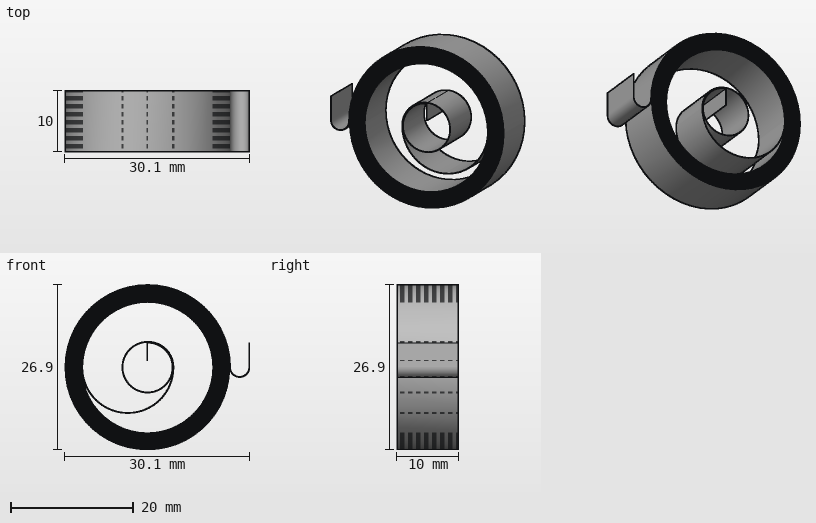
import cadquery as cq
import math

strip_width = 10.0
strip_thickness = 0.13
turn_gap = 0.0005
pitch = strip_thickness + turn_gap

coil_outer_radius = 13.505
upper_half_turns = 22

core_outer_radius = 4.23
core_centre_x = pitch / 4
leg_left_x = -strip_thickness
leg_bottom_z = 1.15

hook_inner_radius = 1.5
hook_leg_top_z = 4.0

ABOVE, BELOW = 1, -1

WHOLE, QUARTERS = 1, 2


def coil_crossings():
    """X of the strip's outer face wherever the main coil crosses the X axis, from the hook inwards."""
    crossings = []
    for turn in range(upper_half_turns):
        turn_radius = coil_outer_radius - turn * pitch
        crossings += [turn_radius, -turn_radius]
    return crossings


def core_crossings():
    """The same for the core: a wide half turn leads to the first one, then one full turn follows."""
    right_x = core_centre_x + core_outer_radius
    left_x = core_centre_x - core_outer_radius
    return [right_x, left_x, right_x - pitch]


def inner_face(x):
    """X of the strip's inner face where its outer face crosses the X axis at x."""
    return x - math.copysign(strip_thickness, x)


def arc_about(outline, centre_x, radius, start_angle, end_angle):
    """Arc about a centre on the X axis, with angles in radians from +X towards +Z."""
    middle_angle = (start_angle + end_angle) / 2
    middle = (centre_x + radius * math.cos(middle_angle), radius * math.sin(middle_angle))
    end = (centre_x + radius * math.cos(end_angle), radius * math.sin(end_angle))
    return outline.threePointArc(middle, end)


def half_turn(outline, start_x, end_x, side, arcs):
    """Half circle between two points of the X axis, above or below it, made of equal arcs."""
    centre_x = (start_x + end_x) / 2
    radius = abs(end_x - start_x) / 2
    start_angle = 0 if start_x > end_x else side * math.pi
    end_angle = side * math.pi - start_angle
    step = (end_angle - start_angle) / arcs
    for index in range(arcs):
        arc_start = start_angle + index * step
        outline = arc_about(outline, centre_x, radius, arc_start, arc_start + step)
    return outline


def half_turns(outline, crossings, first_side, arcs):
    """Half turns through successive crossings, alternately on the two sides of the X axis."""
    side = first_side
    for start_x, end_x in zip(crossings, crossings[1:]):
        outline = half_turn(outline, start_x, end_x, side, arcs)
        side = -side
    return outline


def core_end(outline):
    """Last quarter turn of the core, down the leg, and back along the inner face to the X axis."""
    outer_radius = core_outer_radius - pitch
    inner_radius = outer_radius - strip_thickness
    leg_right_x = leg_left_x + strip_thickness
    outer_end_angle = math.acos((leg_left_x - core_centre_x) / outer_radius)
    inner_end_angle = math.acos((leg_right_x - core_centre_x) / inner_radius)

    outline = arc_about(outline, core_centre_x, outer_radius, 0, outer_end_angle)
    outline = outline.lineTo(leg_left_x, leg_bottom_z)
    outline = outline.lineTo(leg_right_x, leg_bottom_z)
    outline = outline.lineTo(leg_right_x, inner_radius * math.sin(inner_end_angle))
    return arc_about(outline, core_centre_x, inner_radius, inner_end_angle, 0)


def hook(outline):
    """Half circle below the X axis and a straight upright leg, out and back to the coil's outer face."""
    inner_start_x = coil_outer_radius
    outer_start_x = inner_start_x - strip_thickness
    hook_left_x = inner_start_x + 2 * hook_inner_radius
    hook_right_x = hook_left_x + strip_thickness

    outline = half_turn(outline, outer_start_x, hook_right_x, BELOW, QUARTERS)
    outline = outline.lineTo(hook_right_x, hook_leg_top_z)
    outline = outline.lineTo(hook_left_x, hook_leg_top_z)
    outline = outline.lineTo(hook_left_x, 0)
    return half_turn(outline, hook_left_x, inner_start_x, BELOW, QUARTERS)


def strip_outline():
    """Closed outline of the strip: inwards along its outer face, back along its inner face."""
    coil_outer = coil_crossings()
    core_outer = [coil_outer[-1]] + core_crossings()
    coil_inner = [inner_face(x) for x in reversed(coil_outer)]
    core_inner = [inner_face(x) for x in reversed(core_outer)]

    outline = cq.Workplane("XZ", origin=(0, strip_width / 2, 0)).moveTo(coil_outer[0], 0)
    outline = half_turns(outline, coil_outer, ABOVE, WHOLE)
    outline = half_turns(outline, core_outer, BELOW, QUARTERS)
    outline = core_end(outline)
    outline = half_turns(outline, core_inner, BELOW, QUARTERS)
    outline = half_turns(outline, coil_inner, ABOVE, WHOLE)
    return hook(outline).close()


result = strip_outline().extrude(strip_width, clean=False)